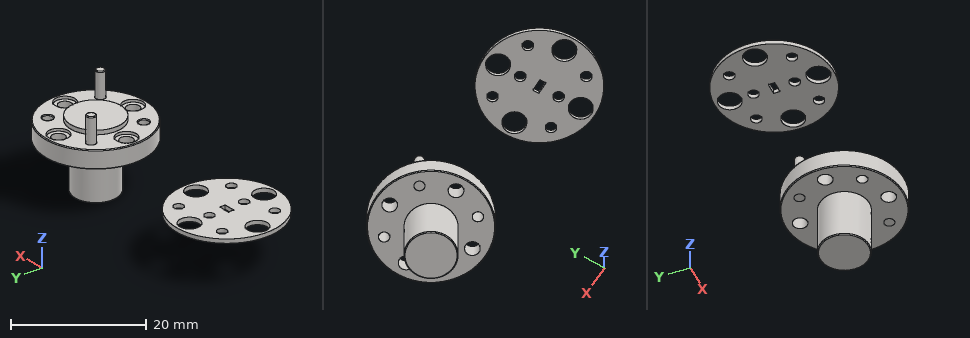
import cadquery as cq
import math

TOTAL_LENGTH = 48.05
DISC_DIAMETER = 19.05
FLANGE_OFFSET_X = TOTAL_LENGTH - DISC_DIAMETER
FLANGE_OFFSET_Y = 1.2

STEM_DIAMETER = 7.97
STEM_LENGTH = 8.65
DISC_THICKNESS = 3.25
BOSS_DIAMETER = 9.5
BOSS_HEIGHT = 0.75
EDGE_CHAMFER = 0.15
DISC_TOP = STEM_LENGTH + DISC_THICKNESS

PATTERN_RADIUS = 14.25 / 2
SCREW_ANGLES = (0, 90, 180, 270)
ALIGNMENT_ANGLES = (45, 225)
PIN_ANGLES = (135, 315)
ALIGNMENT_HOLE_DIAMETER = 1.7
SCREW_HOLE_DIAMETER = 2.3
COUNTERBORE_DIAMETER = 3.65
COUNTERBORE_DEPTH = 0.5
ALIGNMENT_HOLE_CHAMFER = 0.15
PIN_HOLE_CHAMFER = 0.05

PIN_DIAMETER = 1.65
PIN_CHAMFER = 0.15
PIN_TOP = 16.55

PLATE_THICKNESS = 0.75
PLATE_BOTTOM = 7.85
PLATE_SCREW_HOLE_DIAMETER = COUNTERBORE_DIAMETER
INNER_HOLE_RADIUS = 3.3
INNER_HOLE_ANGLES = (90, 270)
WINDOW_LENGTH = 2.0
WINDOW_WIDTH = 1.0


def polar_points(radius, angles):
    """Points at the given angles, in degrees, on a circle about the local origin."""
    return [
        (radius * math.cos(math.radians(angle)), radius * math.sin(math.radians(angle)))
        for angle in angles
    ]


def cylinders(points, diameter, bottom, top):
    """Upright cylinders between two heights, used as solids or as hole cutters."""
    return (
        cq.Workplane("XY", origin=(0, 0, bottom))
        .pushPoints(points)
        .circle(diameter / 2)
        .extrude(top - bottom)
    )


def countersinks(points, hole_diameter, chamfer):
    """Cone cutters that chamfer the upper rims of holes in the disc at 45 degrees."""
    return (
        cq.Workplane("XY", origin=(0, 0, DISC_TOP))
        .pushPoints(points)
        .circle(hole_diameter / 2 + chamfer)
        .extrude(-chamfer, taper=45)
    )


def make_flange():
    """Stemmed flange with counterbored screw holes, alignment holes and pin holes."""
    center = [(0, 0)]
    stem = cylinders(center, STEM_DIAMETER, 0, STEM_LENGTH).faces("<Z").chamfer(EDGE_CHAMFER)
    disc = cylinders(center, DISC_DIAMETER, STEM_LENGTH, DISC_TOP)
    disc = disc.faces("<Z or >Z").edges().chamfer(EDGE_CHAMFER)
    boss = cylinders(center, BOSS_DIAMETER, DISC_TOP, DISC_TOP + BOSS_HEIGHT)

    screw_points = polar_points(PATTERN_RADIUS, SCREW_ANGLES)
    disc = disc.cut(cylinders(screw_points, SCREW_HOLE_DIAMETER, STEM_LENGTH, DISC_TOP))
    disc = disc.cut(
        cylinders(screw_points, COUNTERBORE_DIAMETER, DISC_TOP - COUNTERBORE_DEPTH, DISC_TOP)
    )

    for angles, diameter, chamfer in (
        (ALIGNMENT_ANGLES, ALIGNMENT_HOLE_DIAMETER, ALIGNMENT_HOLE_CHAMFER),
        (PIN_ANGLES, PIN_DIAMETER, PIN_HOLE_CHAMFER),
    ):
        points = polar_points(PATTERN_RADIUS, angles)
        disc = disc.cut(cylinders(points, diameter, STEM_LENGTH, DISC_TOP))
        disc = disc.cut(countersinks(points, diameter, chamfer))

    flange = stem.union(disc).union(boss)
    return flange.translate((FLANGE_OFFSET_X, FLANGE_OFFSET_Y, 0))


def make_pin(point):
    """Dowel pin through the disc, with a chamfered free end."""
    pin = cylinders([point], PIN_DIAMETER, STEM_LENGTH, PIN_TOP)
    pin = pin.faces(">Z").chamfer(PIN_CHAMFER)
    return pin.translate((FLANGE_OFFSET_X, FLANGE_OFFSET_Y, 0))


def make_plate():
    """Thin shim plate with the flange's hole pattern and a central waveguide window."""
    plate_top = PLATE_BOTTOM + PLATE_THICKNESS
    plate = cylinders([(0, 0)], DISC_DIAMETER, PLATE_BOTTOM, plate_top)

    screw_points = polar_points(PATTERN_RADIUS, SCREW_ANGLES)
    plate = plate.cut(cylinders(screw_points, PLATE_SCREW_HOLE_DIAMETER, PLATE_BOTTOM, plate_top))

    small_points = polar_points(PATTERN_RADIUS, ALIGNMENT_ANGLES + PIN_ANGLES)
    small_points += polar_points(INNER_HOLE_RADIUS, INNER_HOLE_ANGLES)
    plate = plate.cut(cylinders(small_points, ALIGNMENT_HOLE_DIAMETER, PLATE_BOTTOM, plate_top))

    window = (
        cq.Workplane("XY", origin=(0, 0, PLATE_BOTTOM))
        .rect(WINDOW_LENGTH, WINDOW_WIDTH)
        .extrude(PLATE_THICKNESS)
    )
    return plate.cut(window)


flange = make_flange()
pins = [make_pin(point) for point in polar_points(PATTERN_RADIUS, PIN_ANGLES)]
plate = make_plate()

result = cq.Compound.makeCompound([flange.val(), *[pin.val() for pin in pins], plate.val()])